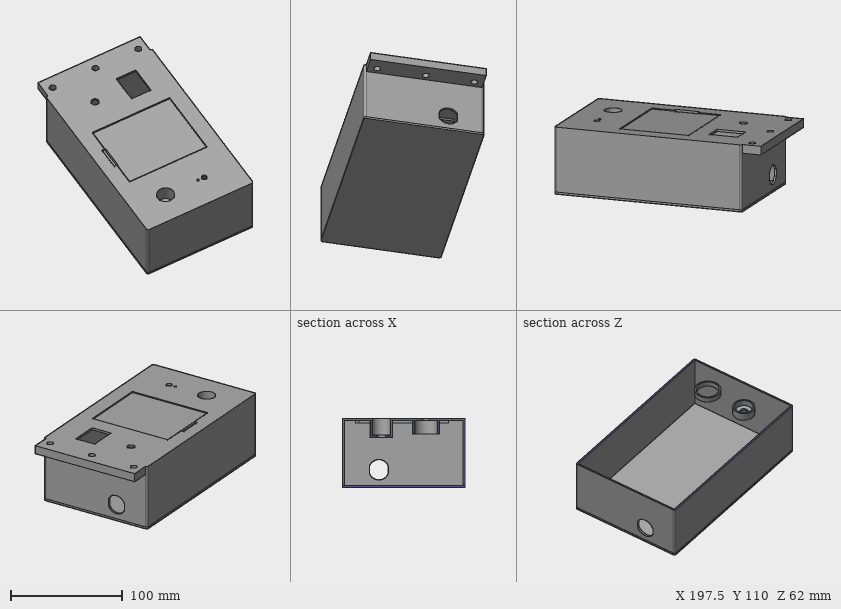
import cadquery as cq

box_length = 180.0
box_width = 110.0
total_height = 62.0
corner_radius = 2.0
wall = 2.0
roof = 2.0
base_thickness = 2.0
roof_underside = total_height - roof

flange_reach = 17.5
flange_thickness = 8.0
flange_width = box_width - 2 * corner_radius
flange_hole_diameter = 6.0
flange_hole_inset = 11.5
flange_hole_spacing = 44.45
flange_end_x = -box_length / 2 - flange_reach

column_x = 62.5
row_y = 20.0
window_length = 27.0
window_width = 20.0
switch_hole_diameter = 7.2

lamp_hole_diameter = 5.2
sensor_hole_diameter = 2.2
sensor_offset = 6.4
shroud_bore = 20.0
shroud_depth = 12.0

well_bore = 16.0
well_outer_diameter = 20.0
well_depth = 15.0
well_floor = 2.0
well_hole_diameter = 7.2

cover_length = 66.0
cover_width = 80.0
cover_recess = 1.0
cover_thickness = 3.0
cover_top = total_height - cover_recess
cover_bottom = cover_top - cover_thickness
cover_bevel = cover_top - roof_underside
notch_length = 22.0
notch_width = 3.0
cover_front_y = -cover_width / 2

cable_diameter = 18.0
cable_flat_width = 16.7
cable_y = -22.25
cable_z = 16.0


def block(x_size, y_size, bottom, top, x=0.0, y=0.0):
    """Upright box centred on (x, y), between two heights."""
    return (
        cq.Workplane("XY", origin=(x, y, bottom))
        .rect(x_size, y_size)
        .extrude(top - bottom)
    )


def cylinder(diameter, bottom, top, x, y):
    """Upright cylinder centred on (x, y), between two heights."""
    return (
        cq.Workplane("XY", origin=(x, y, bottom))
        .circle(diameter / 2)
        .extrude(top - bottom)
    )


def footprint(bottom, top):
    """Full box outline with rounded upright corners."""
    return block(box_length, box_width, bottom, top).edges("|Z").fillet(corner_radius)


def add_flange(body):
    flange = block(
        flange_reach + wall,
        flange_width,
        total_height - flange_thickness,
        total_height,
        x=flange_end_x + (flange_reach + wall) / 2,
    )
    body = body.union(flange)
    for y in (-flange_hole_spacing, 0.0, flange_hole_spacing):
        hole_x = flange_end_x + flange_hole_inset
        body = body.cut(cylinder(flange_hole_diameter, 0.0, total_height, hole_x, y))
    return body


def cut_window_and_switch_hole(body):
    window = block(window_length, window_width, roof_underside, total_height, -column_x, row_y)
    switch_hole = cylinder(switch_hole_diameter, roof_underside, total_height, -column_x, -row_y)
    return body.cut(window).cut(switch_hole)


def add_lamp_shroud(body):
    bottom = roof_underside - shroud_depth
    shroud = cylinder(shroud_bore + 2 * wall, bottom, roof_underside, column_x, row_y)
    shroud = shroud.cut(cylinder(shroud_bore, bottom, roof_underside, column_x, row_y))
    lamp_hole = cylinder(lamp_hole_diameter, roof_underside, total_height, column_x, row_y)
    sensor_y = row_y - sensor_offset
    sensor_hole = cylinder(sensor_hole_diameter, roof_underside, total_height, column_x, sensor_y)
    return body.union(shroud).cut(lamp_hole).cut(sensor_hole)


def add_well(body):
    floor_top = total_height - well_depth
    bottom = floor_top - well_floor
    tube = cylinder(well_outer_diameter, bottom, roof_underside, column_x, -row_y)
    bore = cylinder(well_bore, floor_top, total_height, column_x, -row_y)
    floor_hole = cylinder(well_hole_diameter, bottom, floor_top, column_x, -row_y)
    return body.union(tube).cut(bore).cut(floor_hole)


def notch_block(bottom, top):
    """Box over the finger notch, just in front of the cover."""
    return block(notch_length, notch_width, bottom, top, y=cover_front_y - notch_width / 2)


def cut_cover_opening(body):
    opening = block(cover_length, cover_width, roof_underside, total_height)
    return body.cut(opening).cut(notch_block(roof_underside, total_height))


def cut_cable_opening(body):
    wall_middle_x = -box_length / 2 + wall / 2
    circle = (
        cq.Workplane("YZ", origin=(wall_middle_x, cable_y, cable_z))
        .circle(cable_diameter / 2)
        .extrude(wall / 2, both=True)
    )
    flats = cq.Workplane("XY", origin=(wall_middle_x, cable_y, cable_z)).box(
        wall, cable_flat_width, cable_diameter
    )
    return body.cut(circle.intersect(flats))


def make_housing():
    body = footprint(base_thickness, total_height)
    body = body.cut(
        block(box_length - 2 * wall, box_width - 2 * wall, base_thickness, roof_underside)
    )
    body = add_flange(body)
    body = cut_window_and_switch_hole(body)
    body = add_lamp_shroud(body)
    body = add_well(body)
    body = cut_cover_opening(body)
    return cut_cable_opening(body)


def make_base_plate():
    return footprint(0.0, base_thickness)


def make_cover():
    """Plate filling the roof opening, bevelled down to its latch tab along the finger notch."""
    plate = block(cover_length, cover_width, cover_bottom, cover_top)
    bevel = (
        cq.Workplane("YZ", origin=(-notch_length / 2, cover_front_y, cover_top))
        .polyline([(0.0, 0.0), (cover_bevel, 0.0), (0.0, -cover_bevel)])
        .close()
        .extrude(notch_length)
    )
    return plate.cut(bevel).union(notch_block(cover_bottom, roof_underside))


housing = make_housing()
base_plate = make_base_plate()
cover = make_cover()

result = cq.Compound.makeCompound([housing.val(), base_plate.val(), cover.val()])